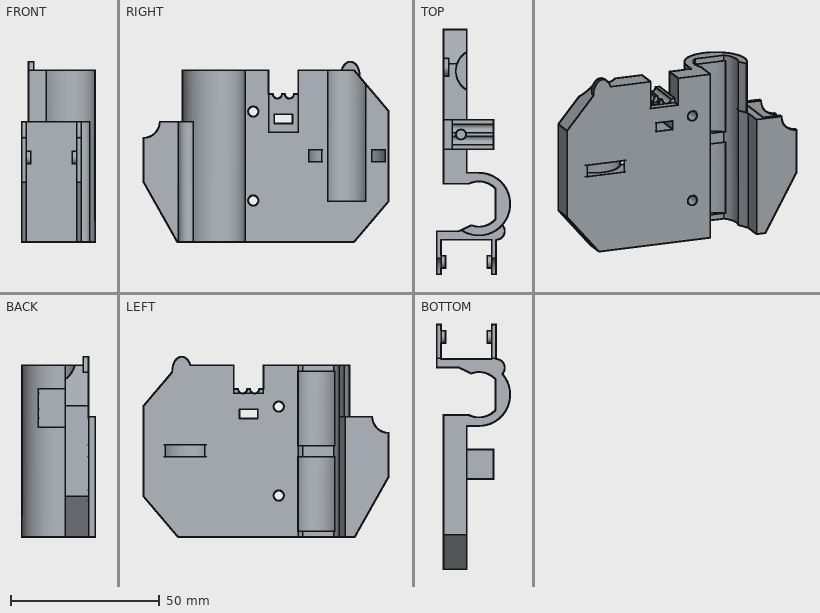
import cadquery as cq
import math

PLATE_THICK = 7.9
PLATE_FRONT = 30.5
PLATE_BACK = 82.6
HEIGHT = 58.0
CORNER_Y = 11.65
CORNER_Z = 13.7

LUG_THICK = 1.8
LUG_Y, LUG_Z = 69.7, 56.0
LUG_HALF_WIDTH = 3.2
LUG_HALF_HEIGHT = 4.9

BORE_X, BORE_Y = 12.0, 23.7
BORE_R = 7.6
TUBE_R = 10.6
LIP_INNER_X = 9.3
LIP_OUTER_X = 6.1
FLAT_X = 17.5
END_RIB = 2.0
MIDDLE_RIB = 3.7
RECESS_DEPTH = 0.1
RECESS_START_Y = 18.1

CLIP_LEFT, CLIP_RIGHT = -2.2, 17.75
CLIP_HEIGHT = 40.6
CLIP_WALL = 1.5
WEB_FRONT = 11.65
WEB_THICK = 3.0
WEB_RAMP_X = 5.3
ARM_LOW_Z = 20.2
ARM_FOOT_Y = 11.4
ARM_SCOOP_R = 5.45
PIN_D = 4.2
PIN_LENGTH = 1.5
PIN_Y, PIN_Z = 4.2, 28.5

BED_Y = 47.15
BED_WIDTH = 10.0
NOTCH_FLOOR = 48.5
BED_LEFT, BED_RIGHT = 3.0, 16.9
BED_BOTTOM = 37.1
GROOVE_R = 1.5
GROOVE_PITCH = 4.05
SCREW_D = 3.4
SCREW_X = 5.95
NUT_SLOT_WIDTH = 6.0
NUT_SLOT_LOW, NUT_SLOT_HIGH = 40.05, 43.1

HOLE_D = 3.4
HOLE_Y = 37.0
HOLE_LOW_Z = 14.0
HOLE_PITCH = 30.0

SEAT_X, SEAT_Y = 11.65, 68.55
SEAT_R = 7.4
SEAT_FLOOR = CORNER_Z
CHANNEL_INNER_R = 9.25
CHANNEL_LENGTH = 13.4
CHANNEL_HEIGHT = 4.05
CHANNEL_Z = 29.15


def box(x0, x1, y0, y1, z0, z1):
    return cq.Workplane("XY").box(x1 - x0, y1 - y0, z1 - z0, centered=False).translate((x0, y0, z0))


def upright_cylinder(x, y, radius, z0, z1):
    return cq.Workplane("XY", origin=(x, y, z0)).circle(radius).extrude(z1 - z0)


def cross_cylinder(y, z, radius, x0, x1):
    return cq.Workplane("YZ", origin=(x0, y, z)).circle(radius).extrude(x1 - x0)


def make_plate():
    plate = (
        cq.Workplane("YZ")
        .polyline([
            (PLATE_FRONT, 0),
            (PLATE_BACK - CORNER_Y, 0),
            (PLATE_BACK, CORNER_Z),
            (PLATE_BACK, HEIGHT - CORNER_Z),
            (PLATE_BACK - CORNER_Y, HEIGHT),
            (PLATE_FRONT, HEIGHT),
        ])
        .close()
        .extrude(PLATE_THICK)
    )
    lug = (
        cq.Workplane("YZ", origin=(0, LUG_Y, LUG_Z))
        .ellipse(LUG_HALF_WIDTH, LUG_HALF_HEIGHT)
        .extrude(LUG_THICK)
    )
    return plate.union(lug)


bore_edge_x = BORE_X - math.sqrt(BORE_R**2 - (PLATE_FRONT - BORE_Y) ** 2)
lip_y = BORE_Y - math.sqrt(BORE_R**2 - (BORE_X - LIP_INNER_X) ** 2)
lip_outer_y = BORE_Y - math.sqrt(TUBE_R**2 - (BORE_X - LIP_OUTER_X) ** 2)


def make_tube():
    return (
        cq.Workplane("XY")
        .moveTo(0, PLATE_FRONT)
        .lineTo(bore_edge_x, PLATE_FRONT)
        .threePointArc((BORE_X + BORE_R, BORE_Y), (LIP_INNER_X, lip_y))
        .lineTo(LIP_OUTER_X, lip_outer_y)
        .threePointArc((BORE_X + TUBE_R, BORE_Y), (BORE_X, BORE_Y + TUBE_R))
        .lineTo(0, BORE_Y + TUBE_R)
        .close()
        .extrude(HEIGHT)
    )


def bore_segment(x_from, z0, z1):
    """Part of the bore beyond a flat at x_from."""
    segment = upright_cylinder(BORE_X, BORE_Y, BORE_R, z0, z1)
    return segment.intersect(box(x_from, BORE_X + TUBE_R, 0, PLATE_BACK, z0, z1))


def line_bore(body):
    """Add the flat-backed ribs and cut the shallow recesses between them."""
    middle_low = (HEIGHT - MIDDLE_RIB) / 2
    middle_high = middle_low + MIDDLE_RIB
    for z0, z1 in [(0, END_RIB), (middle_low, middle_high), (HEIGHT - END_RIB, HEIGHT)]:
        body = body.union(bore_segment(FLAT_X, z0, z1))
    for z0, z1 in [(END_RIB, middle_low), (middle_high, HEIGHT - END_RIB)]:
        recess = upright_cylinder(BORE_X, BORE_Y, BORE_R + RECESS_DEPTH, z0, z1)
        reach = box(bore_edge_x, BORE_X + TUBE_R, RECESS_START_Y, PLATE_BACK, z0, z1)
        body = body.cut(recess.intersect(reach))
    return body


def make_arm(x):
    scoop_middle = ARM_SCOOP_R * math.sqrt(0.5)
    return (
        cq.Workplane("YZ", origin=(x, 0, 0))
        .moveTo(WEB_FRONT, 0)
        .lineTo(ARM_FOOT_Y, 0)
        .lineTo(0, ARM_LOW_Z)
        .lineTo(0, CLIP_HEIGHT - ARM_SCOOP_R)
        .threePointArc(
            (scoop_middle, CLIP_HEIGHT - scoop_middle),
            (ARM_SCOOP_R, CLIP_HEIGHT),
        )
        .lineTo(WEB_FRONT, CLIP_HEIGHT)
        .close()
        .extrude(CLIP_WALL)
    )


def make_clip():
    web_back = WEB_FRONT + WEB_THICK
    web = (
        cq.Workplane("XY")
        .polyline([
            (CLIP_LEFT, WEB_FRONT),
            (CLIP_RIGHT, WEB_FRONT),
            (CLIP_RIGHT, web_back),
            (LIP_INNER_X, lip_y),
            (WEB_RAMP_X, web_back),
            (CLIP_LEFT, web_back),
        ])
        .close()
        .extrude(CLIP_HEIGHT)
    )
    rounded_end = upright_cylinder(CLIP_RIGHT, web_back, WEB_THICK, 0, CLIP_HEIGHT)
    clip = web.union(rounded_end)
    left_inside = CLIP_LEFT + CLIP_WALL
    right_inside = CLIP_RIGHT - CLIP_WALL
    clip = clip.union(make_arm(CLIP_LEFT)).union(make_arm(right_inside))
    clip = clip.union(cross_cylinder(PIN_Y, PIN_Z, PIN_D / 2, left_inside, left_inside + PIN_LENGTH))
    return clip.union(cross_cylinder(PIN_Y, PIN_Z, PIN_D / 2, right_inside - PIN_LENGTH, right_inside))


def add_bed(body):
    bed_front = BED_Y - BED_WIDTH / 2
    bed_back = BED_Y + BED_WIDTH / 2
    bed_top = NOTCH_FLOOR + GROOVE_R
    body = body.cut(box(0, PLATE_THICK, bed_front, bed_back, NOTCH_FLOOR, HEIGHT))
    body = body.union(box(BED_LEFT, BED_RIGHT, bed_front, bed_back, BED_BOTTOM, bed_top))
    for side in (-1, 1):
        groove_y = BED_Y + side * GROOVE_PITCH / 2
        body = body.cut(cross_cylinder(groove_y, bed_top, GROOVE_R, BED_LEFT, BED_RIGHT))
    slot_half = NUT_SLOT_WIDTH / 2
    body = body.cut(box(0, BED_RIGHT, BED_Y - slot_half, BED_Y + slot_half, NUT_SLOT_LOW, NUT_SLOT_HIGH))
    return body.cut(upright_cylinder(SCREW_X, BED_Y, SCREW_D / 2, NUT_SLOT_LOW, bed_top))


def cut_cross_holes(body):
    for hole_z in (HOLE_LOW_Z, HOLE_LOW_Z + HOLE_PITCH):
        body = body.cut(cross_cylinder(HOLE_Y, hole_z, HOLE_D / 2, 0, PLATE_THICK))
    return body


def cut_seat_and_channel(body):
    body = body.cut(upright_cylinder(SEAT_X, SEAT_Y, SEAT_R, SEAT_FLOOR, HEIGHT))
    channel_outer_r = math.hypot(SEAT_X, CHANNEL_LENGTH / 2)
    low = CHANNEL_Z - CHANNEL_HEIGHT / 2
    high = CHANNEL_Z + CHANNEL_HEIGHT / 2
    channel = upright_cylinder(SEAT_X, SEAT_Y, channel_outer_r, low, high)
    channel = channel.cut(upright_cylinder(SEAT_X, SEAT_Y, CHANNEL_INNER_R, low, high))
    return body.cut(channel)


result = line_bore(make_plate().union(make_tube())).union(make_clip())
result = add_bed(result)
result = cut_cross_holes(result)
result = cut_seat_and_channel(result)